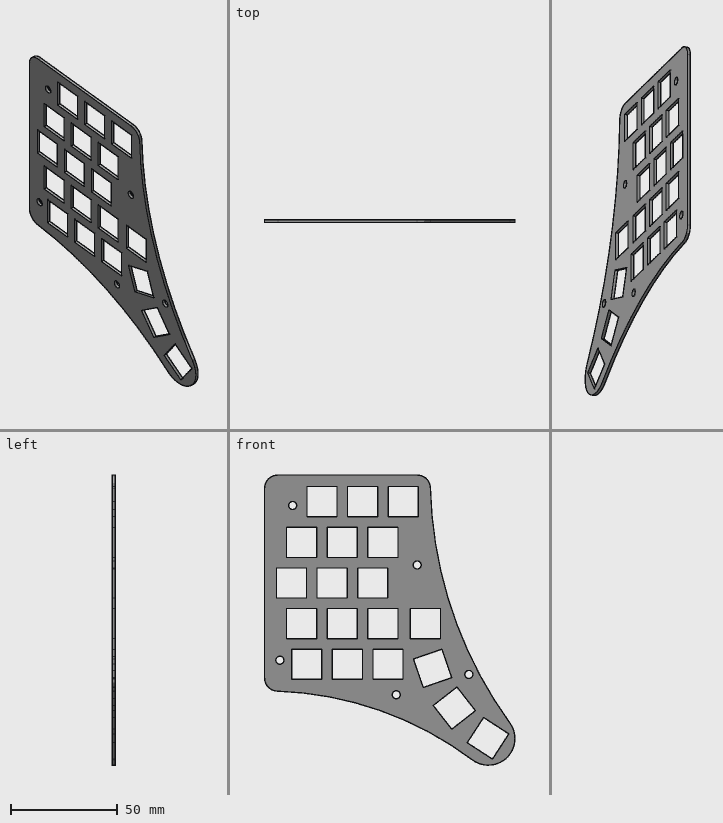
import cadquery as cq
import math

width = 117.7
height = 136.3
thickness = 1.5

corner_radius = 6.3
tip_radius = 12.5
top_edge_end = 78.0
left_edge_bottom = 34.8
right_sweep_radius = 196.3
bottom_sweep_radius = 161.5

key_size = 14.0
key_pitch = 19.1
top_row_x = 27.0
top_row_z = 123.8
keys_per_row = 3
row_staggers = [0, -0.5, -0.75, -0.5, -0.375]
inner_key_x = 75.5
inner_key_row = 3
thumb_fan_angle = 19.0
thumb_centers = [(79.0, 45.5), (89.2, 26.9), (105.0, 12.7)]

screw_diameter = 3.7
screw_centers = [(13.2, 122.0), (71.7, 94.0), (7.2, 49.4), (96.0, 42.7), (61.9, 33.1)]


def sweep_center(start, start_radius, end, end_radius, sweep_radius):
    """Center of the circle touching two round corners from outside, left of start to end."""
    dx, dz = end[0] - start[0], end[1] - start[1]
    span = math.hypot(dx, dz)
    to_start = sweep_radius + start_radius
    to_end = sweep_radius + end_radius
    along = (to_start**2 - to_end**2 + span**2) / (2 * span)
    aside = math.sqrt(to_start**2 - along**2)
    return (
        start[0] + (along * dx - aside * dz) / span,
        start[1] + (along * dz + aside * dx) / span,
    )


def point_toward(origin, target, distance):
    """Point at the given distance from origin in the direction of target."""
    ratio = distance / math.dist(origin, target)
    return (
        origin[0] + ratio * (target[0] - origin[0]),
        origin[1] + ratio * (target[1] - origin[1]),
    )


def midpoint(first, second):
    """Point halfway between two points."""
    return ((first[0] + second[0]) / 2, (first[1] + second[1]) / 2)


def plate():
    """Sheet with three small corners, a round tip and two concave sweeps between them."""
    left_top = (corner_radius, height - corner_radius)
    right_top = (top_edge_end - corner_radius, height - corner_radius)
    left_bottom = (corner_radius, left_edge_bottom + corner_radius)
    tip = (width - tip_radius, tip_radius)

    right_center = sweep_center(right_top, corner_radius, tip, tip_radius, right_sweep_radius)
    bottom_center = sweep_center(tip, tip_radius, left_bottom, corner_radius, bottom_sweep_radius)

    right_start = point_toward(right_top, right_center, corner_radius)
    right_end = point_toward(tip, right_center, tip_radius)
    right_middle = point_toward(right_center, midpoint(right_start, right_end), right_sweep_radius)

    bottom_start = point_toward(tip, bottom_center, tip_radius)
    bottom_end = point_toward(left_bottom, bottom_center, corner_radius)
    bottom_middle = point_toward(bottom_center, midpoint(bottom_start, bottom_end), bottom_sweep_radius)

    top_right_middle = point_toward(right_top, (top_edge_end, height), corner_radius)
    tip_middle = point_toward(tip, (width, 0), tip_radius)
    bottom_left_middle = point_toward(left_bottom, (0, left_edge_bottom), corner_radius)
    top_left_middle = point_toward(left_top, (0, height), corner_radius)

    return (
        cq.Workplane("XZ")
        .moveTo(left_top[0], height)
        .lineTo(right_top[0], height)
        .threePointArc(top_right_middle, right_start)
        .threePointArc(right_middle, right_end)
        .threePointArc(tip_middle, bottom_start)
        .threePointArc(bottom_middle, bottom_end)
        .threePointArc(bottom_left_middle, (0, left_bottom[1]))
        .lineTo(0, left_top[1])
        .threePointArc(top_left_middle, (left_top[0], height))
        .close()
        .extrude(-thickness)
    )


def key_cutter(center, angle=0):
    """Square prism through the plate, turned counterclockwise as seen from the front."""
    return (
        cq.Workplane("XZ")
        .center(*center)
        .transformed(rotate=(0, 0, angle))
        .rect(key_size, key_size)
        .extrude(-thickness)
    )


result = plate()

for row, stagger in enumerate(row_staggers):
    row_z = top_row_z - row * key_pitch
    for column in range(keys_per_row):
        result = result.cut(key_cutter((top_row_x + (column + stagger) * key_pitch, row_z)))

inner_key_z = top_row_z - inner_key_row * key_pitch
result = result.cut(key_cutter((inner_key_x, inner_key_z)))

for position, center in enumerate(thumb_centers, start=1):
    result = result.cut(key_cutter(center, position * thumb_fan_angle))

screw_holes = cq.Workplane("XZ").pushPoints(screw_centers).circle(screw_diameter / 2).extrude(-thickness)
result = result.cut(screw_holes)